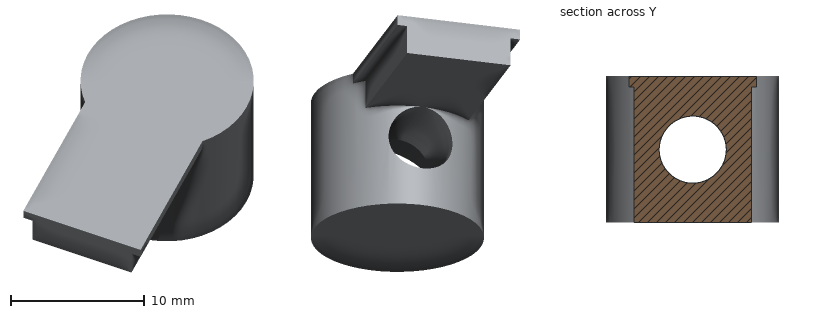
import cadquery as cq

body_diameter = 13.0
body_height = 11.0

overall_length = 22.5
arm_length = overall_length - body_diameter / 2
flange_width = 9.6
flange_thickness = 0.8
web_width = 8.1

hole_diameter = 5.0
counterbore_diameter = 9.0
counterbore_floor_y = 0.0
hole_height = body_height / 2

arm_thickness = body_height - hole_height - hole_diameter / 2


def make_body():
    return cq.Workplane("XY").circle(body_diameter / 2).extrude(body_height)


def make_arm_bar(width, thickness):
    """Bar from the body axis to the arm tip, hanging down from the top face."""
    return (
        cq.Workplane("XY")
        .workplane(offset=body_height - thickness)
        .center(0, -arm_length / 2)
        .rect(width, arm_length)
        .extrude(thickness)
    )


def make_cross_cylinder(diameter, start_y, end_y):
    """Cylinder along Y at the height of the cross hole."""
    return (
        cq.Workplane("XZ", origin=(0, start_y, hole_height))
        .circle(diameter / 2)
        .extrude(start_y - end_y)
    )


flange = make_arm_bar(flange_width, flange_thickness)
web = make_arm_bar(web_width, arm_thickness)
hole = make_cross_cylinder(hole_diameter, body_diameter / 2, -body_diameter / 2)
counterbore = make_cross_cylinder(counterbore_diameter, body_diameter / 2, counterbore_floor_y)

bored_body = make_body().cut(hole).cut(counterbore)
result = bored_body.union(flange).union(web)